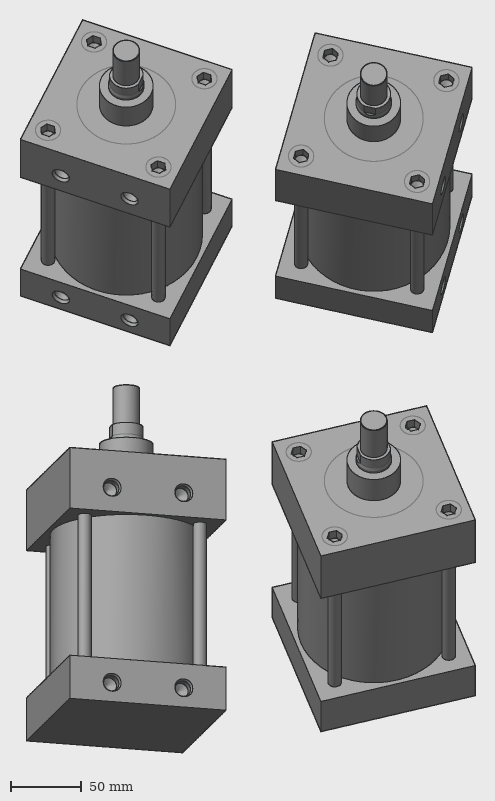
import cadquery as cq
import math

BLOCK_WIDTH = 114.5
TOTAL_HEIGHT = 247.6
BASE_TOP = 31.7
HEAD_BOTTOM = 139.7
HEAD_TOP = 184.3
TUBE_DIAMETER = 107.7

GLAND_DIAMETER = 38.0
GLAND_TOP = 206.3
RETAINER_DIAMETER = 69.8
RETAINER_THICKNESS = 7.5

TIE_SPACING = 84.5
TIE_DIAMETER = 9.7
TIE_HEAD_DIAMETER = 17.8
TIE_HEAD_HEIGHT = 12.5
SOCKET_ACROSS_FLATS = 9.7
SOCKET_DEPTH = 7.5
SOCKET_TURN = 30.0

PORT_SPACING = 52.5
PORT_MOUTH_DIAMETER = 13.1
PORT_MOUTH_DEPTH = 2.5
PORT_DIAMETER = 11.1
PORT_DEPTH = 8.7
BASE_PORT_Z = 14.0
HEAD_PORT_Z = 157.3

DRILL_TIP_ANGLE = 118.0

ROD_DIAMETER = 25.3
CONE_BOTTOM = 207.8
NECK_DIAMETER = 23.8
NECK_BOTTOM = 210.8
FLATS_WIDTH = 22.3
RUNOUT_HEIGHT = 2.5
RUNOUT_WIDTH = 1.85
THREAD_DIAMETER = 19.0
THREAD_BOTTOM = 219.2
THREAD_CHAMFER = 0.37


def cylinder(diameter, bottom, top):
    return cq.Workplane("XY").workplane(offset=bottom).circle(diameter / 2).extrude(top - bottom)


def block(bottom, top):
    height = top - bottom
    return cq.Workplane("XY").workplane(offset=bottom).rect(BLOCK_WIDTH, BLOCK_WIDTH).extrude(height)


def revolved(outline):
    """Turn an XZ outline a full turn about the Z axis."""
    return outline.close().revolve(360, (0, 0, 0), (0, 1, 0))


def drill_tip_height(diameter):
    return diameter / 2 / math.tan(math.radians(DRILL_TIP_ANGLE / 2))


def port_cutter():
    """Drilled port with a tapered mouth, running down -Z from the origin."""
    radius = PORT_DIAMETER / 2
    tip_depth = PORT_DEPTH + drill_tip_height(PORT_DIAMETER)
    outline = (
        cq.Workplane("XZ")
        .lineTo(PORT_MOUTH_DIAMETER / 2, 0)
        .lineTo(radius, -PORT_MOUTH_DEPTH)
        .lineTo(radius, -PORT_DEPTH)
        .lineTo(0, -tip_depth)
    )
    return revolved(outline)


def socket_cutter():
    """Hexagon socket with a conical floor, sunk from the top of the head block."""
    floor = HEAD_TOP - SOCKET_DEPTH
    hexagon = (
        cq.Workplane("XY")
        .workplane(offset=floor)
        .polygon(6, SOCKET_ACROSS_FLATS, circumscribed=True)
        .extrude(SOCKET_DEPTH)
        .rotate((0, 0, 0), (0, 0, 1), SOCKET_TURN)
    )
    tip = (
        cq.Workplane("XZ", origin=(0, 0, floor))
        .lineTo(SOCKET_ACROSS_FLATS / 2, 0)
        .lineTo(0, -drill_tip_height(SOCKET_ACROSS_FLATS))
    )
    return hexagon.union(revolved(tip))


def add_ports(housing):
    cutter = port_cutter().rotate((0, 0, 0), (1, 0, 0), 90)
    for x in (-PORT_SPACING / 2, PORT_SPACING / 2):
        for z in (BASE_PORT_Z, HEAD_PORT_Z):
            housing = housing.cut(cutter.translate((x, -BLOCK_WIDTH / 2, z)))
    return housing


def add_retainer(housing):
    retainer = cylinder(RETAINER_DIAMETER, HEAD_TOP - RETAINER_THICKNESS, HEAD_TOP)
    return housing.union(retainer, clean=False)


def add_tie_rods(housing):
    shank = cylinder(TIE_DIAMETER, BASE_TOP, HEAD_BOTTOM)
    head = cylinder(TIE_HEAD_DIAMETER, HEAD_TOP - TIE_HEAD_HEIGHT, HEAD_TOP)
    socket = socket_cutter()
    for x in (-TIE_SPACING / 2, TIE_SPACING / 2):
        for y in (-TIE_SPACING / 2, TIE_SPACING / 2):
            place = (x, y, 0)
            housing = housing.union(shank.translate(place), clean=False)
            housing = housing.union(head.translate(place), clean=False)
            housing = housing.cut(socket.translate(place), clean=False)
    return housing


def make_housing():
    housing = block(0, BASE_TOP).union(block(HEAD_BOTTOM, HEAD_TOP))
    housing = housing.union(cylinder(TUBE_DIAMETER, BASE_TOP, HEAD_BOTTOM))
    housing = housing.union(cylinder(GLAND_DIAMETER, HEAD_TOP, GLAND_TOP))
    housing = add_ports(housing)
    housing = add_retainer(housing)
    return add_tie_rods(housing)


def flat_cutter():
    """Cuts the +X wrench flat, with a sloping run-out into the cone below the neck."""
    flat_x = FLATS_WIDTH / 2
    outer_x = flat_x + RUNOUT_WIDTH
    outline = (
        cq.Workplane("XZ")
        .moveTo(flat_x, NECK_BOTTOM)
        .lineTo(outer_x, NECK_BOTTOM - RUNOUT_HEIGHT)
        .lineTo(outer_x, THREAD_BOTTOM)
        .lineTo(flat_x, THREAD_BOTTOM)
        .close()
    )
    return outline.extrude(ROD_DIAMETER / 2, both=True)


def make_rod():
    collar_radius = ROD_DIAMETER / 2
    neck_radius = NECK_DIAMETER / 2
    outline = (
        cq.Workplane("XZ")
        .moveTo(0, GLAND_TOP)
        .lineTo(collar_radius, GLAND_TOP)
        .lineTo(collar_radius, CONE_BOTTOM)
        .lineTo(neck_radius, NECK_BOTTOM)
        .lineTo(neck_radius, THREAD_BOTTOM)
        .lineTo(0, THREAD_BOTTOM)
    )
    rod = revolved(outline)
    for turn in (0, 180):
        rod = rod.cut(flat_cutter().rotate((0, 0, 0), (0, 0, 1), turn))
    thread = cylinder(THREAD_DIAMETER, THREAD_BOTTOM, TOTAL_HEIGHT)
    return rod.union(thread.faces(">Z").chamfer(THREAD_CHAMFER))


housing = make_housing()
rod = make_rod()
result = cq.Compound.makeCompound([housing.val(), rod.val()])